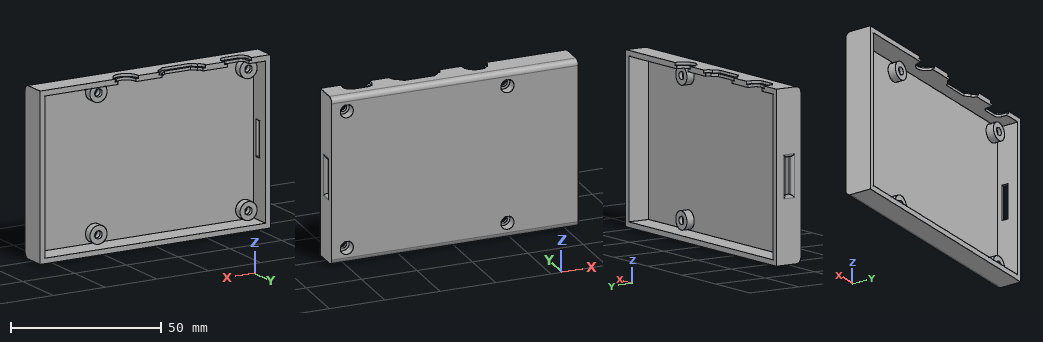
import cadquery as cq
import math

LENGTH = 89.0
DEPTH = 10.0
HEIGHT = 60.0
WALL = 2.0
EDGE_RADIUS = 2.0

LEFT_X = -LENGTH / 2
TOP_Z = HEIGHT / 2
FRONT_Y = -DEPTH / 2
BACK_Y = DEPTH / 2

SCREW_LEFT_X = -39.0
SCREW_SPACING_X = 57.9
SCREW_SPACING_Z = 49.0
SCREW_DIAMETER = 2.8
HEAD_DIAMETER = 4.6
HEAD_DEPTH = 3.6
POST_SHELF = 1.3
POST_WALL = 1.0
POST_DIAMETER = HEAD_DIAMETER + 2 * POST_WALL
POST_TOP = HEAD_DEPTH + POST_SHELF

RIM_OFFSET = 1.0
RIM_DEPTH = WALL / 2
OVERRUN = 4.45

POWER_X = -31.95
POWER_WIDTH = 8.4
POWER_DEPTH = 3.8
POWER_RADIUS = 1.8

VIDEO_X = -10.5
VIDEO_WIDTH = 15.8
VIDEO_SHOULDER_DEPTH = 1.6
VIDEO_SHOULDER_RADIUS = 1.2
VIDEO_DEPTH = 3.3

JACK_X = 10.95
JACK_DIAMETER = 6.9
JACK_CENTER_DEPTH = 0.45

SLOT_HEIGHT = 12.9
SLOT_WIDTH = 2.4
SLOT_FROM_FRONT = 4.8
SLOT_MOUTH_RADIUS = 1.0


def tray():
    """Rectangular tray with the two long front edges rounded."""
    body = cq.Workplane("XY").box(LENGTH, DEPTH, HEIGHT)
    body = body.edges("|X and <Y").fillet(EDGE_RADIUS)
    cavity = cq.Workplane("XY").box(LENGTH - 2 * WALL, DEPTH, HEIGHT - 2 * WALL)
    return body.cut(cavity.translate((0, WALL, 0)))


def front_cylinders(diameter, start, end):
    """Cylinders at the four screw places, between two distances from the front face."""
    return (
        cq.Workplane("XZ", origin=(0, FRONT_Y + start, 0))
        .center(SCREW_LEFT_X + SCREW_SPACING_X / 2, 0)
        .rarray(SCREW_SPACING_X, SCREW_SPACING_Z, 2, 2)
        .circle(diameter / 2)
        .extrude(start - end)
    )


def notch_plane(x):
    """Plane on the top face at the open back."""
    return cq.Workplane("XY", origin=(x, BACK_Y, TOP_Z))


def power_outline():
    """Rectangle with rounded corners."""
    return (
        notch_plane(POWER_X)
        .moveTo(-POWER_WIDTH / 2, OVERRUN)
        .lineTo(-POWER_WIDTH / 2, POWER_RADIUS - POWER_DEPTH)
        .tangentArcPoint((POWER_RADIUS, -POWER_RADIUS))
        .lineTo(POWER_WIDTH / 2 - POWER_RADIUS, -POWER_DEPTH)
        .tangentArcPoint((POWER_RADIUS, POWER_RADIUS))
        .lineTo(POWER_WIDTH / 2, OVERRUN)
        .close()
    )


def video_outline():
    """Wide top with rounded shoulders that slope in to a narrower bottom."""
    half = VIDEO_WIDTH / 2
    radius = VIDEO_SHOULDER_RADIUS
    neck = half - radius
    bottom = neck - (VIDEO_DEPTH - VIDEO_SHOULDER_DEPTH)
    arc_start = VIDEO_SHOULDER_DEPTH - radius
    reach = radius * math.sqrt(0.5)
    return (
        notch_plane(VIDEO_X)
        .moveTo(-half, OVERRUN)
        .lineTo(-half, -arc_start)
        .threePointArc((-neck - reach, -arc_start - reach), (-neck, -VIDEO_SHOULDER_DEPTH))
        .lineTo(-bottom, -VIDEO_DEPTH)
        .lineTo(bottom, -VIDEO_DEPTH)
        .lineTo(neck, -VIDEO_SHOULDER_DEPTH)
        .threePointArc((neck + reach, -arc_start - reach), (half, -arc_start))
        .lineTo(half, OVERRUN)
        .close()
    )


def jack_outline():
    """Straight sides ending in a half circle."""
    radius = JACK_DIAMETER / 2
    return (
        notch_plane(JACK_X)
        .moveTo(-radius, OVERRUN)
        .lineTo(-radius, -JACK_CENTER_DEPTH)
        .threePointArc((0, -JACK_CENTER_DEPTH - radius), (radius, -JACK_CENTER_DEPTH))
        .lineTo(radius, OVERRUN)
        .close()
    )


def stepped_notch(outline):
    """Opening through the top wall with a larger recess in its outer half."""
    opening = outline().extrude(-WALL)
    recess = outline().offset2D(RIM_OFFSET).extrude(-RIM_DEPTH)
    return opening.union(recess)


def cut_card_slot(body):
    """Rectangular slot through the left wall, its outer edges rounded."""
    slot_y = FRONT_Y + SLOT_FROM_FRONT
    slot = cq.Workplane("XY").box(2 * WALL, SLOT_WIDTH, SLOT_HEIGHT)
    body = body.cut(slot.translate((LEFT_X, slot_y, 0)))
    margin = SLOT_MOUTH_RADIUS / 2
    mouth_edges = cq.selectors.BoxSelector(
        (LEFT_X - margin, slot_y - SLOT_WIDTH, -SLOT_HEIGHT),
        (LEFT_X + margin, slot_y + SLOT_WIDTH, SLOT_HEIGHT),
    )
    return body.edges(mouth_edges).fillet(SLOT_MOUTH_RADIUS)


result = cut_card_slot(tray())
result = result.union(front_cylinders(POST_DIAMETER, WALL / 2, POST_TOP))
result = result.cut(front_cylinders(SCREW_DIAMETER, 0, POST_TOP))
result = result.cut(front_cylinders(HEAD_DIAMETER, 0, HEAD_DEPTH))
for notch_outline in (power_outline, video_outline, jack_outline):
    result = result.cut(stepped_notch(notch_outline))